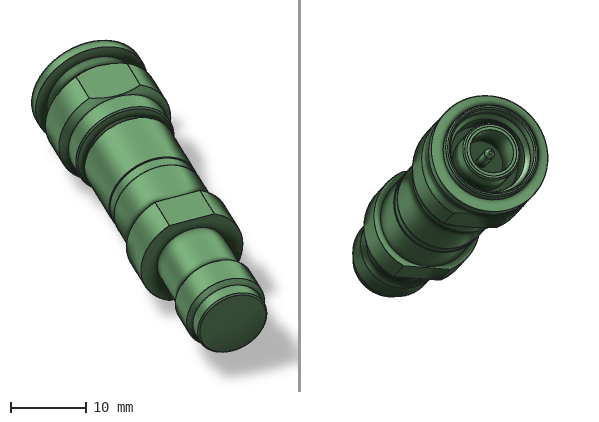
import cadquery as cq


total_length = 53.2
edge_break = 0.2

nut_end_x = 15.0
nut_radius = 8.005
sleeve_radius = 6.4
flange_start_x = 1.5
flange_end_x = 2.9
front_cone_x = 4.7
wrench_start_x = 6.45
wrench_end_x = 11.15
nut_tail_radius = 7.0
nut_flat_height = 7.15

mouth_radius = 5.75
bore_radius = 5.05
taper_start_x = 2.0
taper_end_x = 2.45

shoulder_x = 5.85
neck_radius = 5.6
barrel_radius = 6.4
barrel_start_x = 15.7
barrel_chamfer = 0.65
groove_start_x = 25.1
groove_end_x = 26.65
groove_depth = 0.1
collar_start_x = 33.45
collar_end_x = 38.6
collar_radius = 7.3
collar_flat_height = 6.55
rear_radius = 4.95
rear_ring_radius = 5.6
rear_ring_start_x = 45.95
rear_ring_end_x = 51.3

tube_radius = 3.95
tube_front_x = 0.35
insert_radius = 3.4
insert_bore_radius = 3.0
insert_floor_x = 5.85
insert_end_x = 7.45
pin_radius = 0.7
pin_tip_radius = 0.2
pin_tip_x = 0.95
pin_tip_length = 0.65


def revolve_about_x(points):
    """Turn an (x, radius) outline into a solid of revolution about the X axis."""
    return cq.Workplane("XY").polyline(points).close().revolve(360, (0, 0, 0), (1, 0, 0))


def rod(start_x, end_x, radius):
    """Solid cylinder along X."""
    return cq.Workplane("YZ", origin=(start_x, 0, 0)).circle(radius).extrude(end_x - start_x)


def flat_cutters(start_x, end_x, outer_radius, flat_height):
    """Two blocks that cut parallel flats at +Z and -Z."""
    length = end_x - start_x
    depth = outer_radius - flat_height
    cutters = cq.Workplane("XY")
    for side in (1, -1):
        center = ((start_x + end_x) / 2, 0, side * (flat_height + depth / 2))
        cutters = cutters.add(cq.Workplane("XY", origin=center).box(length, 2 * outer_radius, depth))
    return cutters.combine()


def make_coupling_nut():
    """Flanged sleeve and two-flat wrench section around a tapered bore."""
    rear_cone_x = wrench_end_x + (nut_radius - nut_tail_radius)
    nut = revolve_about_x([
        (0, mouth_radius + edge_break),
        (0, sleeve_radius - edge_break),
        (edge_break, sleeve_radius),
        (flange_start_x, sleeve_radius),
        (flange_start_x, nut_radius),
        (flange_end_x, nut_radius),
        (flange_end_x, sleeve_radius),
        (front_cone_x, sleeve_radius),
        (wrench_start_x, nut_radius),
        (wrench_end_x, nut_radius),
        (rear_cone_x, nut_tail_radius),
        (nut_end_x - edge_break, nut_tail_radius),
        (nut_end_x, nut_tail_radius - edge_break),
        (nut_end_x, bore_radius),
        (taper_end_x, bore_radius),
        (taper_start_x, mouth_radius),
        (edge_break, mouth_radius),
    ])
    return nut.cut(flat_cutters(front_cone_x, rear_cone_x, nut_radius, nut_flat_height))


def make_body():
    """Contact tube, grooved barrel, two-flat collar and rear stub in one piece."""
    groove_radius = barrel_radius - groove_depth
    ring_cone = rear_ring_radius - rear_radius
    body = revolve_about_x([
        (tube_front_x, 0),
        (tube_front_x, tube_radius - edge_break),
        (tube_front_x + edge_break, tube_radius),
        (shoulder_x, tube_radius),
        (shoulder_x, bore_radius),
        (nut_end_x, bore_radius),
        (nut_end_x, neck_radius),
        (barrel_start_x, neck_radius),
        (barrel_start_x, barrel_radius - barrel_chamfer),
        (barrel_start_x + barrel_chamfer, barrel_radius),
        (groove_start_x - groove_depth, barrel_radius),
        (groove_start_x, groove_radius),
        (groove_end_x, groove_radius),
        (groove_end_x + groove_depth, barrel_radius),
        (collar_start_x, barrel_radius),
        (collar_start_x, collar_radius),
        (collar_end_x, collar_radius),
        (collar_end_x, rear_radius),
        (rear_ring_start_x, rear_radius),
        (rear_ring_start_x + ring_cone, rear_ring_radius),
        (rear_ring_end_x - ring_cone, rear_ring_radius),
        (rear_ring_end_x, rear_radius),
        (total_length - edge_break, rear_radius),
        (total_length, rear_radius - edge_break),
        (total_length, 0),
    ])
    body = body.cut(flat_cutters(collar_start_x, collar_end_x, collar_radius, collar_flat_height))
    return body.cut(rod(tube_front_x, insert_end_x, insert_radius))


def make_insert():
    """Cup that lines the contact tube and holds the pin in its floor."""
    insert = rod(tube_front_x, insert_end_x, insert_radius)
    insert = insert.cut(rod(tube_front_x, insert_floor_x, insert_bore_radius))
    return insert.cut(rod(insert_floor_x, insert_end_x, pin_radius))


def make_pin():
    """Center contact with a blunt conical tip."""
    return revolve_about_x([
        (pin_tip_x, 0),
        (pin_tip_x, pin_tip_radius),
        (pin_tip_x + pin_tip_length, pin_radius),
        (insert_end_x, pin_radius),
        (insert_end_x, 0),
    ])


coupling_nut = make_coupling_nut()
body = make_body()
insert = make_insert()
pin = make_pin()

result = cq.Compound.makeCompound([coupling_nut.val(), body.val(), insert.val(), pin.val()])